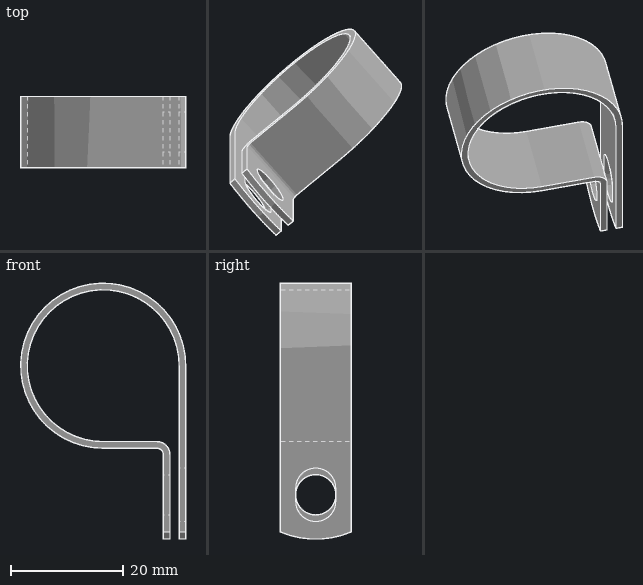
import cadquery as cq
import math

strap_width = 12.7
strap_thickness = 1.22
loop_outer_radius = 14.705
overall_height = 45.59
leg_gap = 1.6
bend_inner_radius = 1.1
hole_diameter = 7.12
hole_height = 7.92
slot_length = 9.5
tip_rise = 1.3

loop_inner_radius = loop_outer_radius - strap_thickness
tip_z = loop_outer_radius - overall_height
hole_z = tip_z + hole_height
long_leg_inside_x = loop_inner_radius
gap_middle_x = long_leg_inside_x - leg_gap / 2
short_leg_front_x = long_leg_inside_x - leg_gap
short_leg_back_x = short_leg_front_x - strap_thickness
shelf_top_z = -loop_inner_radius
shelf_bottom_z = -loop_outer_radius
bend_outer_radius = bend_inner_radius + strap_thickness
bend_x = short_leg_front_x - bend_outer_radius
bend_z = shelf_top_z - bend_outer_radius
diagonal = math.sqrt(0.5)


def strap():
    """Bent strip: long leg, three-quarter loop, shelf, bend and short leg."""
    return (
        cq.Workplane("XZ")
        .moveTo(loop_outer_radius, tip_z)
        .lineTo(loop_outer_radius, 0)
        .threePointArc(
            (-loop_outer_radius * diagonal, loop_outer_radius * diagonal),
            (0, shelf_bottom_z),
        )
        .lineTo(bend_x, shelf_bottom_z)
        .threePointArc(
            (bend_x + bend_inner_radius * diagonal, bend_z + bend_inner_radius * diagonal),
            (short_leg_back_x, bend_z),
        )
        .lineTo(short_leg_back_x, tip_z)
        .lineTo(short_leg_front_x, tip_z)
        .lineTo(short_leg_front_x, bend_z)
        .threePointArc(
            (bend_x + bend_outer_radius * diagonal, bend_z + bend_outer_radius * diagonal),
            (bend_x, shelf_top_z),
        )
        .lineTo(0, shelf_top_z)
        .threePointArc(
            (-loop_inner_radius * diagonal, loop_inner_radius * diagonal),
            (loop_inner_radius, 0),
        )
        .lineTo(long_leg_inside_x, tip_z)
        .close()
        .extrude(strap_width / 2, both=True)
    )


def side_silhouette():
    """Strap outline along X: straight sides with a rounded lower end."""
    half_width = strap_width / 2
    return (
        cq.Workplane("YZ")
        .moveTo(-half_width, loop_outer_radius)
        .lineTo(-half_width, tip_z + tip_rise)
        .threePointArc((0, tip_z), (half_width, tip_z + tip_rise))
        .lineTo(half_width, loop_outer_radius)
        .close()
        .extrude(loop_outer_radius, both=True)
    )


def round_hole():
    """Round bolt hole through the short leg."""
    return (
        cq.Workplane("YZ", origin=(bend_x, 0, hole_z))
        .circle(hole_diameter / 2)
        .extrude(gap_middle_x - bend_x)
    )


def adjustment_slot():
    """Upright slot through the long leg, level with the round hole."""
    return (
        cq.Workplane("YZ", origin=(gap_middle_x, 0, hole_z))
        .slot2D(slot_length, hole_diameter, 90)
        .extrude(loop_outer_radius - gap_middle_x)
    )


result = strap().intersect(side_silhouette()).cut(round_hole()).cut(adjustment_slot())